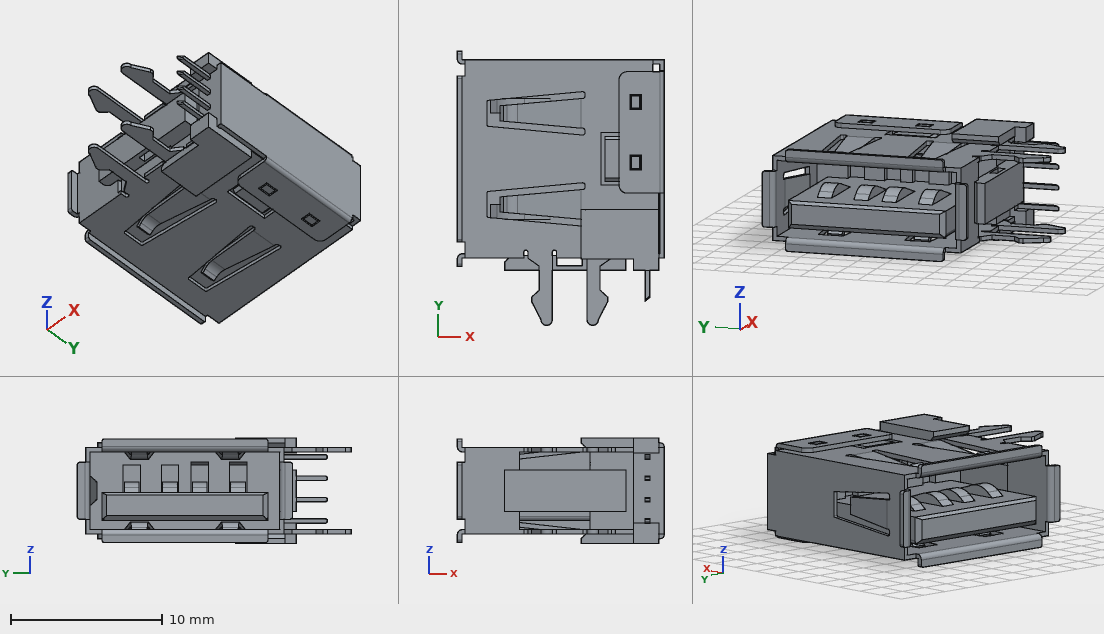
import cadquery as cq
import math


SHEET = 0.3
SHELL_HALF_Y = 6.56
SHELL_HALF_Z = 2.86
INNER_HALF_Y = SHELL_HALF_Y - SHEET
INNER_HALF_Z = SHELL_HALF_Z - SHEET
TOP_SHEET_Z = (INNER_HALF_Z, SHELL_HALF_Z)
MOUTH_X = 0.5
BACK_X = 13.68
COVER_FRONT_X = BACK_X - SHEET

LIP_RISE = 0.56
LIP_THICKNESS = 0.33
LIP_BEND_RADIUS = 0.36
LIP_CORNER_RADIUS = 0.18
WIDE_LIP_LENGTH = 10.98
SIDE_LIP_LENGTH = 3.77

FINGER_ROOT_X = 8.19
FINGER_ROOT_HALF = 0.98
FINGER_TIP_X = 2.72
FINGER_TIP_HALF = 0.49
FINGER_BEND_X = 3.99
FINGER_DIP = 0.47
FINGER_CURL_RADIUS = 0.87
FINGER_CURL_ANGLE = math.radians(45)
FINGER_TIP_LENGTH = 0.3
FINGER_PITCH = 6.02
SLOT_FRONT_X = 1.98
SLOT_FRONT_HALF = 0.85
SLOT_BACK_X = 8.45
SLOT_BACK_HALF = 1.45
SLOT_END_RADIUS = 0.16
SLOT_CORNER_RADIUS = 0.09

SIDE_FINGER_ROOT_X = 2.17
SIDE_FINGER_TIP_X = 6.12
SIDE_FINGER_TIP_HALF = 0.58
SIDE_FINGER_DIP = 0.43
SIDE_SLOT_FRONT_X = 1.92
SIDE_SLOT_BACK_X = 7.28

LEG_MID_X = 7.43
LEG_INNER_GAP = 1.15
LEG_OUTER_GAP = 2.01
LEG_ROOT_GAP = 2.75
LEG_BARB_GAP = 2.52
LEG_NECK_Y = -7.08
LEG_BARB_TOP_Y = -8.66
LEG_BARB_Y = -9.13
LEG_BARB_END_Y = -9.42
LEG_TIP_Y = -11.0
LEG_TIP_RADIUS = 0.38
RELIEF_WIDTH = 0.27
RELIEF_END_Y = -6.03
SIDE_WINDOW_X = 4.13

FLAP_FRONT_X = 10.69
FLAP_Y = (-2.26, 5.76)
FLAP_CORNER_RADIUS = 0.55
FLAP_BEND_RADIUS = 0.27
FLAP_HOLE_X = (11.42, 12.15)
FLAP_HOLE_LENGTH_Y = 1.0
FLAP_HOLE_CENTRES_Y = (3.77, -0.24)
RIVET_GAP = 0.07
RIVET_TAPER = 12
CORNER_NOTCH_X = 12.92
CORNER_NOTCH_Y = 5.44
COVER_NOTCH_Y = 5.85

LATCH_WINDOW_X = 9.51
LATCH_WINDOW_HALF_Y = 1.74
LATCH_BACK_X = 11.05
LATCH_GAP = 0.25
LATCH_CHAMFER = 0.22

BODY_FRONT_X = 8.79
BODY_STEP_X = 11.63
BODY_BACK_X = 13.32
BLOCK_SIDE_Y = -6.61
STANDOFF_Y = -7.35
BLOCK_FRONT_X = 8.19
BLOCK_INNER_Y = -3.35
BLOCK_HALF_Z = 3.5
BLOCK_CHAMFER = 0.29
FOOT_TOP_Z = 2.5
FOOT_BOTTOM_Z = -2.14

PLATE_X = (3.13, 11.15)
PLATE_HALF_Z = 1.38
PLATE_TONGUE_Y = -6.38
PLATE_CHAMFER = 0.25
PLATE_HOLE_X = (6.58, 8.25)
PLATE_HOLE_Y = -7.05

TONGUE_FRONT_X = 0.27
TONGUE_NOSE = 0.33
TONGUE_HALF_Y = 5.49
TONGUE_TOP_Z = -0.1
TONGUE_BOTTOM_Z = -1.95
TONGUE_TOP_BEVEL = 0.18
TONGUE_EDGE_RADIUS = 0.25

CONTACT_WIDTH = 0.98
CONTACT_FRONT_X = 2.21
CONTACT_BACK_X = 6.12
CONTACT_BEND_START = (2.65, 0.33)
CONTACT_BEND_TOP = (3.55, 0.67)
CONTACT_BEND_END = (4.45, 0.5)
CONTACT_SLOT_WIDTH = 1.15
CONTACT_SLOT_DEPTH = 0.55
CONTACT_SLOT_TOP_Z = 1.69
CONTACT_SLOT_BEVEL = 0.2
CONTACT_CENTRES_Y = (3.52, 0.98, -0.98, -3.52)
BEVELLED_SLOTS_Y = (-0.98, -3.52)

PIN_SIZE = 0.3
PIN_X = 12.41
PIN_TIP_Y = -9.4
PIN_TIP_BEVEL = 0.25
PIN_TOP_Z = 2.23
PIN_BOTTOM_Z = -2.0
PIN_COUNT = 4
PIN_PITCH = (PIN_TOP_Z - PIN_BOTTOM_Z) / (PIN_COUNT - 1)
PIN_CORNER_CHAMFER = 0.07


def box(x, y, z):
    """Box spanning the given (low, high) pairs."""
    corner = (x[0], y[0], z[0])
    solid = cq.Workplane("XY").box(x[1] - x[0], y[1] - y[0], z[1] - z[0], centered=False)
    return solid.translate(corner)


def prism_z(sketch_points, z):
    """Extrude an XY polygon between two Z levels."""
    return cq.Workplane("XY").workplane(offset=z[0]).polyline(sketch_points).close().extrude(z[1] - z[0])


def with_mirror_z(solid):
    """The solid together with its mirror image below the XY plane."""
    return solid.union(solid.mirror("XY"))


def make_shell_tube():
    """Box-shaped shell, open at the mouth, with a window in its -Y side."""
    tube = box((MOUTH_X, BACK_X), (-SHELL_HALF_Y, SHELL_HALF_Y), (-SHELL_HALF_Z, SHELL_HALF_Z))
    cavity = box((MOUTH_X, COVER_FRONT_X), (-INNER_HALF_Y, INNER_HALF_Y), (-INNER_HALF_Z, INNER_HALF_Z))
    side_window = box(
        (SIDE_WINDOW_X, BODY_STEP_X), (-SHELL_HALF_Y, -INNER_HALF_Y), (-INNER_HALF_Z, INNER_HALF_Z)
    )
    return tube.cut(cavity).cut(side_window)


def make_lip(length):
    """Lip along Y, bent outward from a sheet whose outer face is at Z = 0."""
    lip = (
        cq.Workplane("XZ")
        .moveTo(MOUTH_X, -SHEET)
        .lineTo(LIP_BEND_RADIUS, -SHEET)
        .radiusArc((0, LIP_BEND_RADIUS - SHEET), LIP_BEND_RADIUS)
        .lineTo(0, LIP_RISE)
        .lineTo(LIP_THICKNESS, LIP_RISE)
        .lineTo(LIP_THICKNESS, 0)
        .lineTo(MOUTH_X, 0)
        .close()
        .extrude(length / 2, both=True)
    )
    return lip.edges("|X and >Z").fillet(LIP_CORNER_RADIUS)


def make_finger_slot(root, root_end, tip_end):
    """Tapered slot around a finger, leaving its root attached; outer sheet face at Z = 0.

    root is the X of the bend line, root_end and tip_end are the X limits of the slot.
    """
    upper = [
        (tip_end, SLOT_FRONT_HALF),
        (root_end, SLOT_BACK_HALF),
        (root_end, FINGER_ROOT_HALF),
        (root, FINGER_ROOT_HALF),
    ]
    lower = [(x, -y) for x, y in reversed(upper)]
    slot = prism_z(upper + lower, (-SHEET, 0))
    arm_side, tip_side = (">X", "<X") if root_end > tip_end else ("<X", ">X")
    slot = slot.edges("|Z").edges(arm_side).fillet(SLOT_END_RADIUS)
    return slot.edges("|Z").edges(tip_side).fillet(SLOT_CORNER_RADIUS)


def make_finger():
    """Spring finger dipping from its root and curling up at the tip; outer sheet face at Z = 0."""
    slope = math.atan2(FINGER_DIP, FINGER_ROOT_X - FINGER_BEND_X)
    centre_x = FINGER_BEND_X - FINGER_CURL_RADIUS * math.sin(slope)
    centre_z = -FINGER_DIP + FINGER_CURL_RADIUS * math.cos(slope)

    def on_curl(radius, angle):
        return (centre_x - radius * math.sin(angle), centre_z - radius * math.cos(angle))

    def tip(radius):
        x, z = on_curl(radius, FINGER_CURL_ANGLE)
        return (
            x - FINGER_TIP_LENGTH * math.cos(FINGER_CURL_ANGLE),
            z + FINGER_TIP_LENGTH * math.sin(FINGER_CURL_ANGLE),
        )

    top = FINGER_CURL_RADIUS
    bottom = FINGER_CURL_RADIUS + SHEET
    lowest = 0
    strip = (
        cq.Workplane("XZ")
        .moveTo(FINGER_ROOT_X, 0)
        .lineTo(*on_curl(top, -slope))
        .threePointArc(on_curl(top, lowest), on_curl(top, FINGER_CURL_ANGLE))
        .lineTo(*tip(top))
        .lineTo(*tip(bottom))
        .lineTo(*on_curl(bottom, FINGER_CURL_ANGLE))
        .threePointArc(on_curl(bottom, lowest), on_curl(bottom, -slope))
        .lineTo(FINGER_ROOT_X, -SHEET)
        .close()
        .extrude(FINGER_ROOT_HALF, both=True)
    )
    taper = prism_z(
        [
            (FINGER_TIP_X, -FINGER_TIP_HALF),
            (FINGER_ROOT_X, -FINGER_ROOT_HALF),
            (FINGER_ROOT_X, FINGER_ROOT_HALF),
            (FINGER_TIP_X, FINGER_TIP_HALF),
        ],
        (-SHELL_HALF_Z, SHELL_HALF_Z),
    )
    return strip.intersect(taper)


def make_side_finger():
    """Straight tapered finger sloping inward towards the back; outer sheet face at Z = 0."""
    strip = (
        cq.Workplane("XZ")
        .polyline(
            [
                (SIDE_FINGER_ROOT_X, 0),
                (SIDE_FINGER_TIP_X, -SIDE_FINGER_DIP),
                (SIDE_FINGER_TIP_X, -SIDE_FINGER_DIP - SHEET),
                (SIDE_FINGER_ROOT_X, -SHEET),
            ]
        )
        .close()
        .extrude(FINGER_ROOT_HALF, both=True)
    )
    taper = prism_z(
        [
            (SIDE_FINGER_ROOT_X, -FINGER_ROOT_HALF),
            (SIDE_FINGER_TIP_X, -SIDE_FINGER_TIP_HALF),
            (SIDE_FINGER_TIP_X, SIDE_FINGER_TIP_HALF),
            (SIDE_FINGER_ROOT_X, FINGER_ROOT_HALF),
        ],
        (-SHELL_HALF_Z, 0),
    )
    return strip.intersect(taper)


def on_top(solid, y=0):
    """Move a solid made for a sheet at Z = 0 onto the top of the shell."""
    return solid.translate((0, y, SHELL_HALF_Z))


def on_side(solid, turn):
    """Turn a solid made for a sheet at Z = 0 onto the +Y (turn -90) or -Y (turn 90) side of the shell."""
    return solid.translate((0, 0, SHELL_HALF_Y)).rotate((0, 0, 0), (1, 0, 0), turn)


def make_leg(side):
    """Barbed leg in the top sheet; side -1 is nearer the mouth, +1 nearer the back."""

    def at(gap, y):
        return (LEG_MID_X + side * gap, y)

    tip_gap = LEG_INNER_GAP + LEG_TIP_RADIUS
    tip_start_y = LEG_TIP_Y + LEG_TIP_RADIUS
    return (
        cq.Workplane("XY")
        .workplane(offset=INNER_HALF_Z)
        .moveTo(*at(LEG_INNER_GAP, -INNER_HALF_Y))
        .lineTo(*at(LEG_INNER_GAP, tip_start_y))
        .threePointArc(at(tip_gap, LEG_TIP_Y), at(tip_gap + LEG_TIP_RADIUS, tip_start_y))
        .lineTo(*at(LEG_BARB_GAP, LEG_BARB_END_Y))
        .lineTo(*at(LEG_BARB_GAP, LEG_BARB_Y))
        .lineTo(*at(LEG_OUTER_GAP, LEG_BARB_TOP_Y))
        .lineTo(*at(LEG_OUTER_GAP, LEG_NECK_Y))
        .lineTo(*at(LEG_ROOT_GAP, -SHELL_HALF_Y))
        .lineTo(*at(LEG_ROOT_GAP, -INNER_HALF_Y))
        .close()
        .extrude(SHEET)
    )


def make_leg_relief(gap):
    """Round-ended relief slot in the top sheet edge, starting at X = LEG_MID_X + gap."""
    radius = RELIEF_WIDTH / 2
    x = LEG_MID_X + gap + radius
    length = 2 * (SHELL_HALF_Y + RELIEF_END_Y)
    return (
        cq.Workplane("XY")
        .workplane(offset=INNER_HALF_Z)
        .center(x, -SHELL_HALF_Y)
        .slot2D(length, RELIEF_WIDTH, 90)
        .extrude(SHEET)
    )


def make_flap():
    """Flap folded from the back cover over the top sheet."""
    top_z = SHELL_HALF_Z + SHEET
    flap = box((FLAP_FRONT_X, BACK_X), FLAP_Y, (SHELL_HALF_Z, top_z))
    flap = flap.edges("|Z and <X").fillet(FLAP_CORNER_RADIUS)
    flap = flap.edges("|Y and >X and >Z").fillet(FLAP_BEND_RADIUS)
    hole_mid_x = sum(FLAP_HOLE_X) / 2
    hole_width = FLAP_HOLE_X[1] - FLAP_HOLE_X[0]
    hole_centres = [(hole_mid_x, y) for y in FLAP_HOLE_CENTRES_Y]
    sheet_top = cq.Workplane("XY").workplane(offset=SHELL_HALF_Z).pushPoints(hole_centres)
    holes = sheet_top.rect(hole_width, FLAP_HOLE_LENGTH_Y).extrude(SHEET)
    rivets = sheet_top.rect(hole_width - RIVET_GAP, FLAP_HOLE_LENGTH_Y - RIVET_GAP).extrude(
        SHEET, taper=RIVET_TAPER
    )
    return flap.cut(holes).union(rivets)


def make_shell():
    shell = make_shell_tube()
    slot = make_finger_slot(FINGER_ROOT_X, SLOT_BACK_X, SLOT_FRONT_X)
    side_slot = make_finger_slot(SIDE_FINGER_ROOT_X, SIDE_SLOT_FRONT_X, SIDE_SLOT_BACK_X)
    finger = make_finger()
    finger_places = (-FINGER_PITCH / 2, FINGER_PITCH / 2)
    reliefs = (
        -LEG_INNER_GAP,
        LEG_INNER_GAP - RELIEF_WIDTH,
        -LEG_ROOT_GAP - RELIEF_WIDTH,
        LEG_ROOT_GAP,
    )

    cutters = make_leg_relief(reliefs[0])
    for gap in reliefs[1:]:
        cutters = cutters.union(make_leg_relief(gap))
    for y in finger_places:
        cutters = cutters.union(on_top(slot, y))
    latch_y = (-LATCH_WINDOW_HALF_Y, LATCH_WINDOW_HALF_Y)
    latch_window = box((LATCH_WINDOW_X, LATCH_BACK_X), latch_y, TOP_SHEET_Z)
    notch = box((CORNER_NOTCH_X, COVER_FRONT_X), (CORNER_NOTCH_Y, SHELL_HALF_Y), TOP_SHEET_Z)
    cover_notch = box((COVER_FRONT_X, BACK_X), (COVER_NOTCH_Y, SHELL_HALF_Y), TOP_SHEET_Z)
    cover_gap = box((BODY_BACK_X, COVER_FRONT_X), (-INNER_HALF_Y, CORNER_NOTCH_Y), TOP_SHEET_Z)
    for cutter in (latch_window, notch, cover_notch, cover_gap):
        cutters = cutters.union(cutter)
    shell = shell.cut(with_mirror_z(cutters)).cut(on_side(side_slot, -90))

    additions = on_top(make_lip(WIDE_LIP_LENGTH)).union(make_flap())
    for side in (-1, 1):
        additions = additions.union(make_leg(side))
    for y in finger_places:
        additions = additions.union(on_top(finger, y))
    shell = shell.union(with_mirror_z(additions)).union(on_side(make_side_finger(), -90))
    for turn in (-90, 90):
        shell = shell.union(on_side(make_lip(SIDE_LIP_LENGTH), turn))
    return shell


def make_tongue():
    """Bar carrying the contacts, with a bevelled nose at the mouth."""
    nose_back_x = TONGUE_FRONT_X + TONGUE_NOSE
    height = TONGUE_TOP_Z - TONGUE_BOTTOM_Z
    mid_z = (TONGUE_TOP_Z + TONGUE_BOTTOM_Z) / 2
    tip_height = height - TONGUE_TOP_BEVEL - TONGUE_NOSE
    tip_mid_z = mid_z + (TONGUE_NOSE - TONGUE_TOP_BEVEL) / 2
    nose = (
        cq.Workplane("YZ", origin=(TONGUE_FRONT_X, 0, tip_mid_z))
        .rect(2 * (TONGUE_HALF_Y - TONGUE_NOSE), tip_height)
        .workplane(offset=TONGUE_NOSE)
        .center(0, mid_z - tip_mid_z)
        .rect(2 * TONGUE_HALF_Y, height)
        .loft(combine=True)
    )
    bar = box(
        (nose_back_x, BODY_FRONT_X), (-TONGUE_HALF_Y, TONGUE_HALF_Y), (TONGUE_BOTTOM_Z, TONGUE_TOP_Z)
    )
    return nose.union(bar.edges("|X and <Z").fillet(TONGUE_EDGE_RADIUS))


def make_contact(y):
    """Springy contact bump rising from the top of the tongue."""
    return (
        cq.Workplane("XZ", origin=(0, y, TONGUE_TOP_Z))
        .moveTo(CONTACT_FRONT_X, 0)
        .lineTo(*CONTACT_BEND_START)
        .threePointArc(CONTACT_BEND_TOP, CONTACT_BEND_END)
        .lineTo(CONTACT_BACK_X, 0)
        .close()
        .extrude(CONTACT_WIDTH / 2, both=True)
    )


def make_contact_slot(y):
    """Slot in the front of the insulator body behind a contact."""
    back_x = BODY_FRONT_X + CONTACT_SLOT_DEPTH
    bevel = CONTACT_SLOT_BEVEL if y in BEVELLED_SLOTS_Y else 0
    profile = [
        (BODY_FRONT_X, TONGUE_TOP_Z),
        (BODY_FRONT_X, CONTACT_SLOT_TOP_Z + bevel),
        (back_x, CONTACT_SLOT_TOP_Z),
        (back_x, TONGUE_TOP_Z),
    ]
    face = cq.Workplane("XZ", origin=(0, y, 0)).polyline(profile).close()
    return face.extrude(CONTACT_SLOT_WIDTH / 2, both=True)


def make_plate():
    """Standoff plate in front of the side window, with a tongue reaching into it."""
    plate_z = (-PLATE_HALF_Z, PLATE_HALF_Z)
    outside = box(PLATE_X, (STANDOFF_Y, -SHELL_HALF_Y), plate_z)
    outside = outside.edges("|Z and <X and >Y").chamfer(PLATE_CHAMFER)
    inside = box((SIDE_WINDOW_X, PLATE_X[1]), (-SHELL_HALF_Y, PLATE_TONGUE_Y), plate_z)
    root = box((BODY_FRONT_X, PLATE_X[1]), (PLATE_TONGUE_Y, -INNER_HALF_Y), plate_z)
    hole = box(PLATE_HOLE_X, (PLATE_HOLE_Y, -SHELL_HALF_Y), plate_z)
    return outside.union(inside).union(root).cut(hole)


def make_block():
    """Support block on the top sheet, above the rear leg."""
    block = box(
        (BLOCK_FRONT_X, BODY_BACK_X), (BLOCK_SIDE_Y, BLOCK_INNER_Y), (SHELL_HALF_Z, BLOCK_HALF_Z)
    )
    return block.edges("|Y and <X and <Z").chamfer(BLOCK_CHAMFER)


def make_latch_boss():
    """Bevelled boss filling the latch window of the top sheet."""
    boss = box(
        (LATCH_WINDOW_X + LATCH_GAP, LATCH_BACK_X),
        (LATCH_GAP - LATCH_WINDOW_HALF_Y, LATCH_WINDOW_HALF_Y - LATCH_GAP),
        TOP_SHEET_Z,
    )
    return boss.edges("|X and >Z").chamfer(LATCH_CHAMFER)


def make_pin(z):
    """Square solder pin with a slanted, chamfered tip."""
    outline = [
        (PIN_X, PIN_TIP_Y),
        (PIN_X + PIN_SIZE, PIN_TIP_Y + PIN_TIP_BEVEL),
        (PIN_X + PIN_SIZE, -INNER_HALF_Y),
        (PIN_X, -INNER_HALF_Y),
    ]
    pin = prism_z(outline, (z - PIN_SIZE / 2, z + PIN_SIZE / 2))
    return pin.faces("<Y").edges("not |Z").chamfer(PIN_CORNER_CHAMFER)


def make_insulator():
    inner_z = (-INNER_HALF_Z, INNER_HALF_Z)
    body = box((BODY_FRONT_X, BODY_BACK_X), (-INNER_HALF_Y, INNER_HALF_Y), inner_z)
    notch = box((CORNER_NOTCH_X, BODY_BACK_X), (CORNER_NOTCH_Y, INNER_HALF_Y), inner_z)
    body = body.cut(notch).union(with_mirror_z(make_block().union(make_latch_boss())))

    foot_x = (BODY_STEP_X, BODY_BACK_X)
    foot_y = (STANDOFF_Y, -SHELL_HALF_Y)
    body = body.union(box(foot_x, foot_y, (FOOT_TOP_Z, BLOCK_HALF_Z)))
    body = body.union(box(foot_x, foot_y, (-BLOCK_HALF_Z, FOOT_BOTTOM_Z)))
    body = body.union(make_plate()).union(make_tongue())

    for y in CONTACT_CENTRES_Y:
        body = body.cut(make_contact_slot(y)).union(make_contact(y))
    for index in range(PIN_COUNT):
        body = body.union(make_pin(PIN_TOP_Z - index * PIN_PITCH))
    return body


result = make_shell().union(make_insulator())